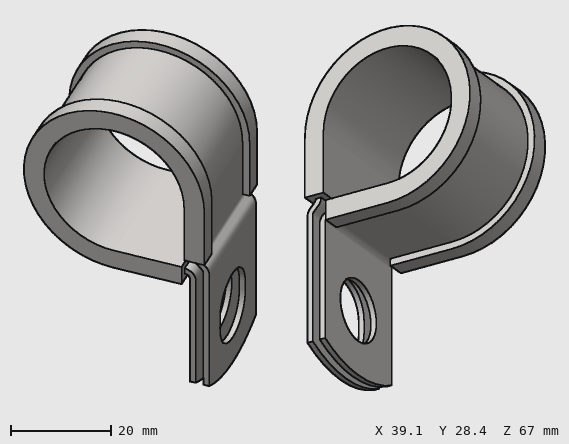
import cadquery as cq
import math

bore_radius = 15.0
loop_radius = 19.35
strap_radius = 17.8
strap_thickness = 1.3
cushion_width = 28.45
groove_width = 20.35
strap_width = 25.2

upright_leg_end = -13.2
flat_leg_end = 14.45

overall_height = 66.95
inner_tab_face = 16.9
outer_tab_face = 19.75
tab_tip = loop_radius - overall_height
tab_tip_rise = 3.0
hole_diameter = 13.5
slot_length = 16.05
hole_z = -33.3

bend_inside_radius = inner_tab_face - strap_thickness - flat_leg_end
jog_angle = math.radians(45)

half_thickness = strap_thickness / 2
jog_radius = bend_inside_radius + half_thickness


def extrude_centred(profile, width):
    """Extrude an XZ profile symmetrically about Y = 0."""
    return profile.extrude(width / 2, both=True)


def loop_outline(radius):
    """Filled teardrop: three quarters of a circle closed by two tangent legs."""
    diagonal = radius * math.sqrt(0.5)
    return (
        cq.Workplane("XZ")
        .moveTo(0, -radius)
        .threePointArc((-diagonal, diagonal), (radius, 0))
        .lineTo(radius, -radius)
        .close()
    )


def loop_body():
    """Cushion and strap around the loop, with a groove between the two lips."""
    body = extrude_centred(loop_outline(strap_radius), groove_width)
    lip_width = (cushion_width - groove_width) / 2
    lip_offset = (groove_width + lip_width) / 2
    for side in (-1, 1):
        lip = extrude_centred(loop_outline(loop_radius), lip_width)
        body = body.union(lip.translate((0, side * lip_offset, 0)))
    body = body.cut(extrude_centred(loop_outline(bore_radius), cushion_width))

    gap_beside_flat_leg = (
        cq.Workplane("XZ")
        .moveTo(flat_leg_end, upright_leg_end)
        .lineTo(loop_radius, upright_leg_end)
        .lineTo(loop_radius, -loop_radius)
        .lineTo(flat_leg_end, -loop_radius)
        .close()
    )
    gap_above_flat_leg = (
        cq.Workplane("XZ")
        .moveTo(0, upright_leg_end)
        .lineTo(loop_radius, upright_leg_end)
        .lineTo(loop_radius, -bore_radius)
        .lineTo(0, -bore_radius)
        .close()
    )
    body = body.cut(extrude_centred(gap_beside_flat_leg, cushion_width))
    return body.cut(extrude_centred(gap_above_flat_leg, cushion_width))


def inner_tab():
    """Strap leaving the flat leg and turning down through an elbow."""
    outside_radius = bend_inside_radius + strap_thickness
    strap_bottom = -strap_radius
    strap_top = strap_bottom + strap_thickness
    back_face = inner_tab_face - strap_thickness
    centre_z = strap_bottom - bend_inside_radius
    profile = (
        cq.Workplane("XZ")
        .moveTo(flat_leg_end, strap_top)
        .radiusArc((inner_tab_face, centre_z), outside_radius)
        .lineTo(inner_tab_face, tab_tip)
        .lineTo(back_face, tab_tip)
        .lineTo(back_face, centre_z)
        .radiusArc((flat_leg_end, strap_bottom), -bend_inside_radius)
        .close()
    )
    return extrude_centred(profile, strap_width)


def outer_tab():
    """Strap leaving the upright leg and jogging outward into a straight tab."""
    start_x = strap_radius - half_thickness
    end_x = outer_tab_face - half_thickness
    bend_run = jog_radius * math.sin(jog_angle)
    bend_shift = jog_radius * (1 - math.cos(jog_angle))
    slope_run = (end_x - start_x - 2 * bend_shift) / math.tan(jog_angle)
    jog_end = upright_leg_end - 2 * bend_run - slope_run
    upper_centre = start_x + jog_radius
    lower_centre = end_x - jog_radius

    def upper_point(radius, angle):
        x = upper_centre - radius * math.cos(angle)
        return x, upright_leg_end - radius * math.sin(angle)

    def lower_point(radius, angle):
        x = lower_centre + radius * math.cos(angle)
        return x, jog_end + radius * math.sin(angle)

    tight = bend_inside_radius
    wide = bend_inside_radius + strap_thickness
    half_angle = jog_angle / 2
    profile = (
        cq.Workplane("XZ")
        .moveTo(*upper_point(tight, 0))
        .threePointArc(upper_point(tight, half_angle), upper_point(tight, jog_angle))
        .lineTo(*lower_point(wide, jog_angle))
        .threePointArc(lower_point(wide, half_angle), lower_point(wide, 0))
        .lineTo(outer_tab_face, tab_tip)
        .lineTo(outer_tab_face - strap_thickness, tab_tip)
        .lineTo(*lower_point(tight, 0))
        .threePointArc(lower_point(tight, half_angle), lower_point(tight, jog_angle))
        .lineTo(*upper_point(wide, jog_angle))
        .threePointArc(upper_point(wide, half_angle), upper_point(wide, 0))
        .close()
    )
    return extrude_centred(profile, strap_width)


def tab_envelope():
    """Block along X with an arched lower end."""
    half_width = strap_width / 2
    shoulder_z = tab_tip + tab_tip_rise
    return (
        cq.Workplane("YZ")
        .moveTo(-half_width, 0)
        .lineTo(-half_width, shoulder_z)
        .threePointArc((0, tab_tip), (half_width, shoulder_z))
        .lineTo(half_width, 0)
        .close()
        .extrude(outer_tab_face)
    )


hole_centre = cq.Workplane("YZ").center(0, hole_z)
round_hole = hole_centre.circle(hole_diameter / 2).extrude(outer_tab_face)
upright_slot = hole_centre.slot2D(slot_length, hole_diameter, 90).extrude(outer_tab_face)

drilled_inner_tab = inner_tab().intersect(tab_envelope()).cut(round_hole)
slotted_outer_tab = outer_tab().intersect(tab_envelope()).cut(upright_slot)
result = loop_body().union(drilled_inner_tab).union(slotted_outer_tab)